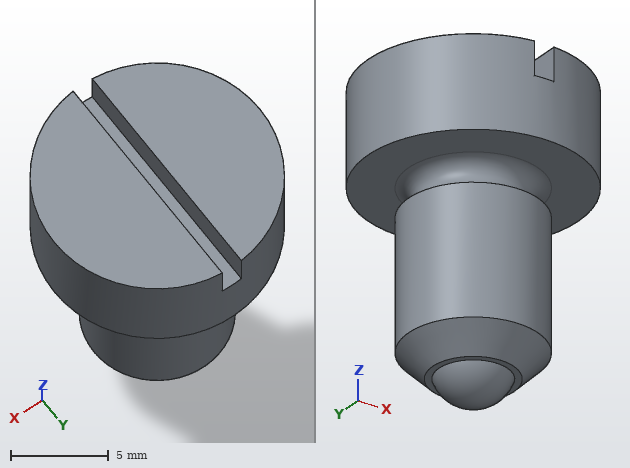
import cadquery as cq

total_height = 18.0
head_diameter = 13.0
head_height = 5.5
shank_diameter = 8.0
groove_width = 1.75
tip_chamfer = 1.5
slot_width = 1.2
slot_depth = 2.0
ball_diameter = 4.5
ball_protrusion = 1.5

head_radius = head_diameter / 2
shank_radius = shank_diameter / 2
groove_radius = groove_width / 2
ball_radius = ball_diameter / 2

shank_end_z = ball_protrusion
chamfer_top_z = shank_end_z + tip_chamfer
head_bottom_z = total_height - head_height
groove_center_z = head_bottom_z - groove_radius
groove_bottom_z = head_bottom_z - groove_width


def make_ball():
    """Ball held in the shank end, with only its lower cap exposed."""
    return cq.Workplane("XY").sphere(ball_radius).translate((0, 0, ball_radius))


def make_turned_body():
    """Head, grooved shank and chamfered tip revolved about Z."""
    return (
        cq.Workplane("XZ")
        .moveTo(0, shank_end_z)
        .lineTo(shank_radius - tip_chamfer, shank_end_z)
        .lineTo(shank_radius, chamfer_top_z)
        .lineTo(shank_radius, groove_bottom_z)
        .threePointArc(
            (shank_radius - groove_radius, groove_center_z),
            (shank_radius, head_bottom_z),
        )
        .lineTo(head_radius, head_bottom_z)
        .lineTo(head_radius, total_height)
        .lineTo(0, total_height)
        .close()
        .revolve(360, (0, 0, 0), (0, 1, 0))
    )


def make_driver_slot():
    """Cutter for the slot running across the head along Y."""
    slot_floor_z = total_height - slot_depth
    return (
        cq.Workplane("XY")
        .workplane(offset=slot_floor_z)
        .rect(slot_width, head_diameter)
        .extrude(slot_depth)
    )


ball = make_ball()

screw = make_turned_body().cut(make_driver_slot()).cut(ball)

result = cq.Compound.makeCompound([screw.val(), ball.val()])